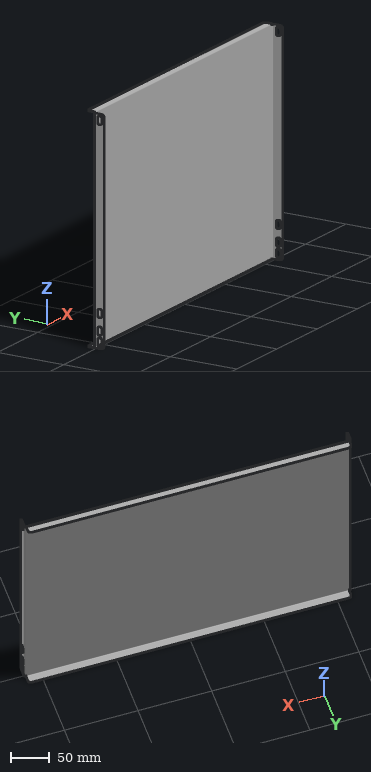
import cadquery as cq

length = 444.0
depth = 26.8
height = 320.0

thickness = 1.0
inner_bend_radius = 1.0
outer_bend_radius = inner_bend_radius + thickness

side_flange_depth = 15.8
side_flange_end_gap = 1.2
side_flange_corner_radius = 5.0
long_flange_depth = depth - side_flange_depth + thickness
long_flange_end_gap = 2.5
long_flange_corner_radius = 4.0

slot_width = 6.5
slot_height = 12.0
slot_edge_distance = 6.8
slot_positions_z = (150.0, -111.0, -135.0, -150.0)

panel_back = side_flange_depth
panel_front = panel_back - thickness

flat_length = length - 2 * outer_bend_radius
flat_height = height - 2 * outer_bend_radius


def bent_flange(run, flange_depth):
    """Flange with its bend, running along Z.

    Its outer side is at X = 0, the panel lies towards -X with its outer face at Y = 0,
    and the flange tip is at Y = flange_depth.
    """
    return (
        cq.Workplane("XY")
        .moveTo(-outer_bend_radius, 0)
        .radiusArc((0, outer_bend_radius), -outer_bend_radius)
        .lineTo(0, flange_depth)
        .lineTo(-thickness, flange_depth)
        .lineTo(-thickness, outer_bend_radius)
        .radiusArc((-outer_bend_radius, thickness), inner_bend_radius)
        .close()
        .extrude(run / 2, both=True)
    )


def make_panel():
    """Flat sheet between the four bends."""
    panel_middle = (panel_front + panel_back) / 2
    return cq.Workplane("XY").box(flat_length, thickness, flat_height).translate((0, panel_middle, 0))


def make_side_flange():
    """Flange on the +X side, with rounded front corners and mounting slots."""
    flange = (
        bent_flange(height - 2 * side_flange_end_gap, side_flange_depth)
        .mirror("XZ")
        .translate((length / 2, panel_back, 0))
        .edges("|X and <Y")
        .fillet(side_flange_corner_radius)
    )
    slots = (
        cq.Workplane("YZ", origin=(length / 2 - thickness, 0, 0))
        .pushPoints([(slot_edge_distance, z) for z in slot_positions_z])
        .slot2D(slot_height, slot_width, 90)
        .extrude(thickness)
    )
    return flange.cut(slots)


def make_long_flange():
    """Flange on the top side, with rounded rear corners."""
    return (
        bent_flange(length - 2 * long_flange_end_gap, long_flange_depth)
        .rotate((0, 0, 0), (0, 1, 0), -90)
        .translate((0, panel_front, height / 2))
        .edges("|Z and >Y")
        .fillet(long_flange_corner_radius)
    )


side_flange = make_side_flange()
long_flange = make_long_flange()

result = (
    make_panel()
    .union(side_flange)
    .union(side_flange.mirror("YZ"))
    .union(long_flange)
    .union(long_flange.mirror("XY"))
)